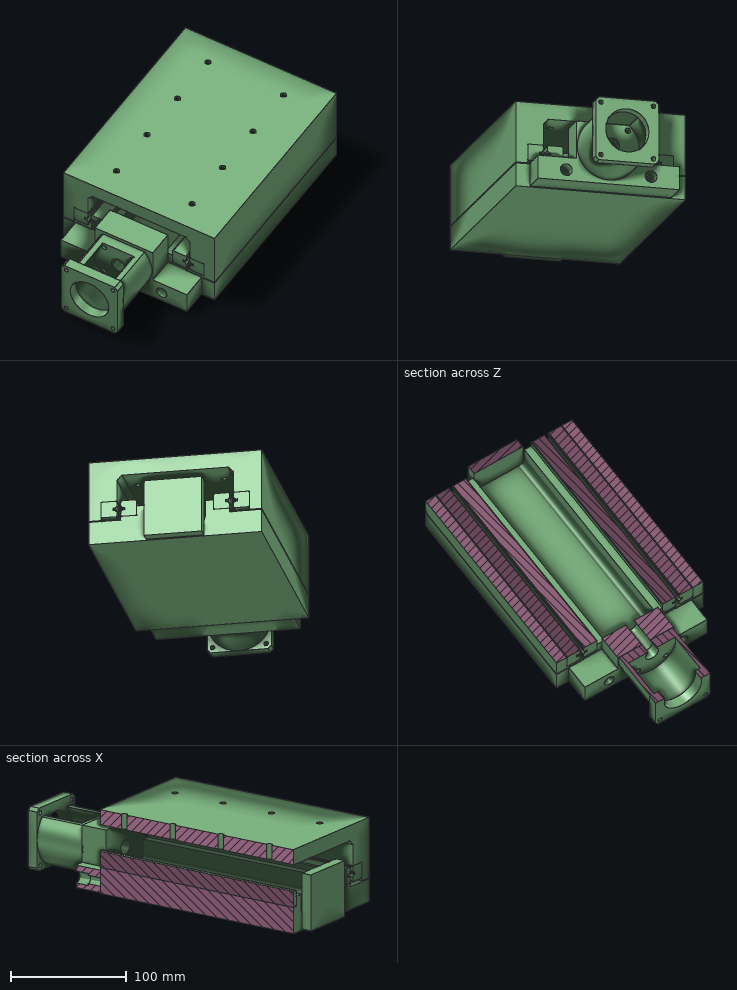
import cadquery as cq
import math


stage_width = 152.5
stage_height = 76.2
stage_length = 203.5
front_y = -stage_length / 2
rear_y = stage_length / 2
axis_z = 32.8
underside_z = 1.0

rail_width = 14.2
rail_height = 14.5
rail_z = 31.3
rail_gap = 3.2
rail_pair_x = 49.5
rail_edge_chamfer = 1.0
groove_half_height = 2.7
relief_half_height = 1.0
vee_depth = groove_half_height - relief_half_height
relief_depth = 3.5
rail_bottom_z = rail_z - rail_height / 2
rail_top_z = rail_z + rail_height / 2
outer_rail_face_x = rail_pair_x + rail_gap / 2
inner_rail_face_x = rail_pair_x - rail_gap / 2

table_bottom_z = 21.5
cavity_top_z = 62.3
cavity_half_width = outer_rail_face_x
cavity_chamfer = 4.5
table_hole_diameter = 5.3
table_hole_spacing_x = 76.2
table_hole_spacing_y = 50.8
table_hole_columns = 2
table_hole_rows = 4

base_top_z = 20.7
boss_top_z = 32.8
channel_half_width = 26.5
channel_floor_z = 12.5
channel_fillet = 6.2

block_length = 25.0
block_width = 127.0
block_step_z = 21.5
block_top_z = 55.2
block_neck_width = 58.2
mount_hole_spacing = 76.2
mount_hole_z = 10.5
mount_hole_diameter = 7.5
counterbore_diameter = 10.3
counterbore_depth = block_length / 2
shaft_bore_diameter = 13.5
block_front_y = front_y - block_length

bracket_length = 57.3
bracket_diameter = 56.7
bracket_flat_z = 52.0
bracket_wall = 9.5
flange_size = 56.7
flange_chamfer = 3.0
flange_hole_spacing = 47.2
flange_hole_diameter = 3.8
pilot_diameter = 38.7
cavity_diameter = 49.0
window_width = 31.3
wall_hole_circle = 40.7
wall_hole_diameter = 4.7
bracket_front_y = block_front_y - bracket_length

plate_width = 50.8
plate_thickness = 9.5
plate_top_z = 51.7


def box(width, y_start, y_end, z_start, z_end):
    """Box centred on X = 0 between two Y and two Z positions."""
    start = cq.Workplane("XY", origin=(0, y_start, z_start))
    return start.box(width, y_end - y_start, z_end - z_start, centered=(True, False, False))


def rods(points, diameter, y_start, y_end):
    """Cylinders along Y at the given (x, z) points."""
    plane = cq.Workplane("XZ", origin=(0, y_start, 0))
    return plane.pushPoints(points).circle(diameter / 2).extrude(y_start - y_end)


def square_points(spacing):
    """Four (x, z) corners of a square centred on the motor axis."""
    half = spacing / 2
    return [(x, axis_z + z) for x in (-half, half) for z in (-half, half)]


def stage_prism(points):
    """Closed (x, z) outline extruded over the stage length."""
    return cq.Workplane("XZ", origin=(0, rear_y, 0)).polyline(points).close().extrude(stage_length)


def make_table():
    table = box(stage_width, front_y, rear_y, table_bottom_z, stage_height)
    cavity = box(2 * cavity_half_width, front_y, rear_y, table_bottom_z, cavity_top_z)
    cavity = cavity.edges("|Y and >Z").chamfer(cavity_chamfer)
    rail_seat = box(2 * (outer_rail_face_x + rail_width), front_y, rear_y, table_bottom_z, rail_top_z)
    table = table.cut(cavity).cut(rail_seat)
    holes = (
        cq.Workplane("XY", origin=(0, 0, cavity_top_z))
        .rarray(table_hole_spacing_x, table_hole_spacing_y, table_hole_columns, table_hole_rows)
        .circle(table_hole_diameter / 2)
        .extrude(stage_height - cavity_top_z)
    )
    return table.cut(holes)


def make_base():
    base = box(stage_width, front_y, rear_y, 0, base_top_z)
    boss = box(2 * inner_rail_face_x, front_y, rear_y, base_top_z, rail_bottom_z)
    boss_ridge = box(2 * (inner_rail_face_x - rail_width), front_y, rear_y, rail_bottom_z, boss_top_z)
    channel = box(2 * channel_half_width, front_y, rear_y, channel_floor_z, boss_top_z)
    channel = channel.edges("|Y and <Z").fillet(channel_fillet)
    return base.union(boss).union(boss_ridge).cut(channel)


def make_rail(face_x, back_direction):
    """Rail whose grooved side lies at face_x and whose back lies towards back_direction (+1 or -1)."""
    relief_x = face_x + back_direction * relief_depth
    vee_x = face_x + back_direction * vee_depth
    rail = box(rail_width, front_y, rear_y, rail_bottom_z, rail_top_z).edges("|Y").chamfer(rail_edge_chamfer)
    rail = rail.translate((face_x + back_direction * rail_width / 2, 0, 0))
    groove = stage_prism([
        (face_x, rail_z + groove_half_height),
        (vee_x, rail_z + relief_half_height),
        (relief_x, rail_z + relief_half_height),
        (relief_x, rail_z - relief_half_height),
        (vee_x, rail_z - relief_half_height),
        (face_x, rail_z - groove_half_height),
    ])
    return rail.cut(groove)


def make_front_block():
    foot = box(block_width, block_front_y, front_y, underside_z, block_step_z)
    neck = box(block_neck_width, block_front_y, front_y, block_step_z, block_top_z)
    mount_points = [(side * mount_hole_spacing / 2, mount_hole_z) for side in (-1, 1)]
    mount_holes = rods(mount_points, mount_hole_diameter, block_front_y, front_y)
    counterbores = rods(mount_points, counterbore_diameter, block_front_y, block_front_y + counterbore_depth)
    shaft_bore = rods([(0, axis_z)], shaft_bore_diameter, block_front_y, front_y)
    return foot.union(neck).cut(mount_holes).cut(counterbores).cut(shaft_bore)


def make_motor_bracket():
    wall_front_y = block_front_y - bracket_wall
    flange_back_y = bracket_front_y + bracket_wall
    axis = [(0, axis_z)]

    body = rods(axis, bracket_diameter, flange_back_y, block_front_y)
    body = body.intersect(box(bracket_diameter, flange_back_y, block_front_y, 0, bracket_flat_z))
    flange_half = flange_size / 2
    flange = box(flange_size, bracket_front_y, flange_back_y, axis_z - flange_half, axis_z + flange_half)
    flange = flange.edges("|Y").chamfer(flange_chamfer)

    cavity = rods(axis, cavity_diameter, flange_back_y, wall_front_y)
    window = box(window_width, flange_back_y, wall_front_y, axis_z, bracket_flat_z)
    pilot = rods(axis, pilot_diameter, bracket_front_y, flange_back_y)
    flange_holes = rods(
        square_points(flange_hole_spacing), flange_hole_diameter, bracket_front_y, flange_back_y
    )
    wall_hole_spacing = wall_hole_circle / math.sqrt(2)
    wall_holes = rods(square_points(wall_hole_spacing), wall_hole_diameter, wall_front_y, block_front_y)
    shaft_bore = rods(axis, shaft_bore_diameter, wall_front_y, block_front_y)

    bracket = body.union(flange)
    for opening in (cavity, window, pilot, flange_holes, wall_holes, shaft_bore):
        bracket = bracket.cut(opening)
    return bracket


def make_rear_plate():
    return box(plate_width, rear_y, rear_y + plate_thickness, underside_z, plate_top_z)


table = make_table()
base = make_base()
rails = []
for side in (-1, 1):
    rails.append(make_rail(side * outer_rail_face_x, side))
    rails.append(make_rail(side * inner_rail_face_x, -side))
front_block = make_front_block()
motor_bracket = make_motor_bracket()
rear_plate = make_rear_plate()

result = cq.Compound.makeCompound([
    table.val(),
    base.val(),
    *[rail.val() for rail in rails],
    front_block.val(),
    motor_bracket.val(),
    rear_plate.val(),
])